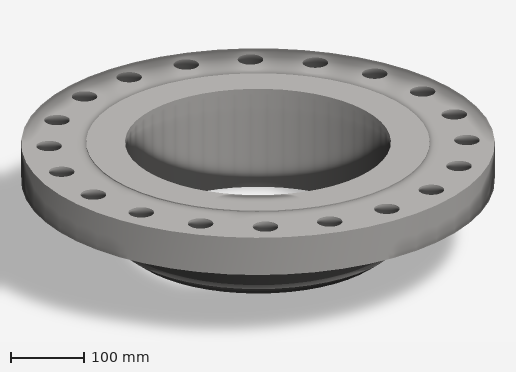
import cadquery as cq
import math

flange_diameter = 647.7
flange_thickness = 57.15
total_height = 146.05
bore_diameter = 363.52
raised_face_diameter = 469.9
raised_face_height = 1.6

hub_base_diameter = 482.6
weld_end_diameter = 406.4
weld_land_height = 6.0
hub_fillet_radius = 15.0

root_face_width = 1.6
bevel_angle = 37.5

bolt_count = 20
bolt_circle_diameter = 571.5
bolt_hole_diameter = 34.925

flange_radius = flange_diameter / 2
bore_radius = bore_diameter / 2
raised_face_radius = raised_face_diameter / 2
hub_base_radius = hub_base_diameter / 2
weld_end_radius = weld_end_diameter / 2
root_face_radius = bore_radius + root_face_width
plate_bottom_z = total_height - flange_thickness
plate_top_z = total_height - raised_face_height
bevel_top_z = (weld_end_radius - root_face_radius) * math.tan(math.radians(bevel_angle))
hub_bottom_z = bevel_top_z + weld_land_height


def make_flange_body():
    """Revolve the half section of plate, hub and weld end about Z."""
    half_section = [
        (bore_radius, 0),
        (root_face_radius, 0),
        (weld_end_radius, bevel_top_z),
        (weld_end_radius, hub_bottom_z),
        (hub_base_radius, plate_bottom_z),
        (flange_radius, plate_bottom_z),
        (flange_radius, plate_top_z),
        (raised_face_radius, plate_top_z),
        (raised_face_radius, total_height),
        (bore_radius, total_height),
    ]
    return cq.Workplane("XZ").polyline(half_section).close().revolve(360, (0, 0), (0, 1))


def fillet_hub(body):
    """Round the corner where the hub meets the underside of the plate."""
    margin = 1.0
    reach = hub_base_radius + margin
    lower = (-reach, -reach, plate_bottom_z - margin)
    upper = (reach, reach, plate_bottom_z + margin)
    at_hub_base = cq.selectors.BoxSelector(lower, upper, boundingbox=True)
    return body.edges(at_hub_base).fillet(hub_fillet_radius)


def make_bolt_holes():
    """Cylinders through the full plate, evenly spaced with one on the +X axis."""
    return (
        cq.Workplane("XY", origin=(0, 0, plate_bottom_z))
        .polarArray(bolt_circle_diameter / 2, 0, 360, bolt_count)
        .circle(bolt_hole_diameter / 2)
        .extrude(flange_thickness)
    )


result = fillet_hub(make_flange_body()).cut(make_bolt_holes())